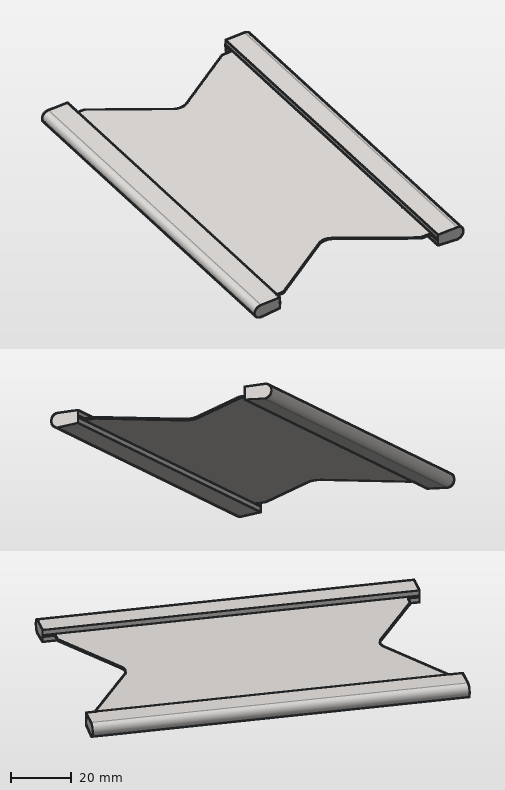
import cadquery as cq
import math

LENGTH = 127.0
WIDTH = 82.0

NOSE_RADIUS = 2.5
BAR_WIDTH = 10.0
BAR_INNER_HEIGHT = 4.4

WEB_THICKNESS = 0.6
WEB_INSET = 4.1
ROOT_RADIUS = 0.5

LIP_WIDTH = 0.1
LIP_EMBED_DEPTH = 1.0

NOTCH_HALF_WIDTH = 27.0
NOTCH_APEX_X = 42.0
NOTCH_RADIUS = 5.0
NOTCH_SHOULDER_RADIUS = 2.0

BAR_INNER_Y = WIDTH / 2 - BAR_WIDTH
BAR_TOP_Z = NOSE_RADIUS
BAR_INNER_BOTTOM_Z = BAR_TOP_Z - BAR_INNER_HEIGHT
WEB_CENTRE_Z = BAR_TOP_Z - BAR_INNER_HEIGHT / 2
WEB_END_X = LENGTH / 2 - WEB_INSET


def make_bar():
    """Bar along X on the +Y side; its underside is tangent to the nose."""
    nose_y = WIDTH / 2 - NOSE_RADIUS
    run = nose_y - BAR_INNER_Y
    drop = -BAR_INNER_BOTTOM_Z
    tilt = math.acos(NOSE_RADIUS / math.hypot(run, drop)) - math.atan2(run, drop)
    tangent_point = (
        nose_y + NOSE_RADIUS * math.sin(tilt),
        -NOSE_RADIUS * math.cos(tilt),
    )
    return (
        cq.Workplane("YZ", origin=(-LENGTH / 2, 0, 0))
        .moveTo(BAR_INNER_Y, BAR_TOP_Z)
        .lineTo(nose_y, BAR_TOP_Z)
        .threePointArc((WIDTH / 2, 0), tangent_point)
        .lineTo(BAR_INNER_Y, BAR_INNER_BOTTOM_Z)
        .close()
        .extrude(LENGTH)
    )


def web_plate(size_x, size_y):
    """Rectangular plate of web thickness, centred on the web plane."""
    return cq.Workplane("XY", origin=(0, 0, WEB_CENTRE_Z)).box(size_x, size_y, WEB_THICKNESS)


def make_notch():
    """V-shaped cutter with a rounded apex for the +X end of the web."""
    return (
        cq.Workplane("XY", origin=(0, 0, WEB_CENTRE_Z - WEB_THICKNESS / 2))
        .moveTo(WEB_END_X, -NOTCH_HALF_WIDTH)
        .lineTo(WEB_END_X, NOTCH_HALF_WIDTH)
        .lineTo(NOTCH_APEX_X, 0)
        .close()
        .extrude(WEB_THICKNESS)
        .edges("|Z and <X")
        .fillet(NOTCH_RADIUS)
    )


def make_lip():
    """Full-length strip on the inner face of the +Y bar, embedded in the bar."""
    strip_width = LIP_WIDTH + LIP_EMBED_DEPTH
    strip_centre_y = BAR_INNER_Y - LIP_WIDTH + strip_width / 2
    return web_plate(LENGTH, strip_width).translate((0, strip_centre_y, 0))


def fillet_corners(web, corner_y, radius):
    """Fillet the four upright web edges at the web ends and at +/-corner_y."""
    for side_x in (-1, 1):
        for side_y in (-1, 1):
            corner = (side_x * WEB_END_X, side_y * corner_y, WEB_CENTRE_Z)
            web = web.edges(cq.selectors.NearestToPointSelector(corner)).fillet(radius)
    return web


def make_web():
    """Notched web with a lip along each bar and filleted corners."""
    notch = make_notch()
    lip = make_lip()
    web = web_plate(2 * WEB_END_X, 2 * BAR_INNER_Y).cut(notch).cut(notch.mirror("YZ"))
    web = fillet_corners(web, NOTCH_HALF_WIDTH, NOTCH_SHOULDER_RADIUS)
    web = web.union(lip).union(lip.mirror("XZ"))
    return fillet_corners(web, BAR_INNER_Y - LIP_WIDTH, ROOT_RADIUS)


bar = make_bar()
result = make_web().union(bar).union(bar.mirror("XZ"))